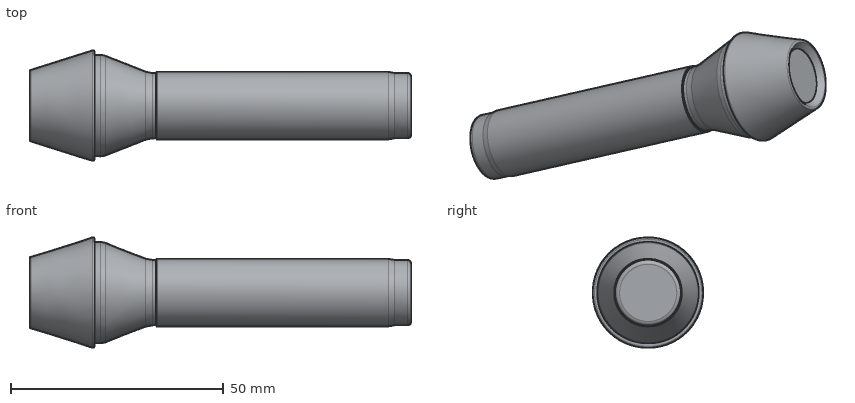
import cadquery as cq
import math

total_length = 90.0
front_x = -total_length / 2
back_x = total_length / 2

head_length = 15.3
head_edge_radius = 0.4
head_max_radius = 13.06
head_front_radius = 8.07
bore_radius = 6.5
dish_angle = math.radians(42)

dish_lip = (
    front_x + head_edge_radius * (1 - math.sin(dish_angle)),
    head_front_radius - head_edge_radius * math.cos(dish_angle),
)
dish_depth_below_lip = (dish_lip[1] - bore_radius) / math.tan(dish_angle)
dish_floor_x = dish_lip[0] + dish_depth_below_lip

collar_radius = 12.0
neck_radius = 15.5 / 2
shank_radius = 16.0 / 2
step = shank_radius - neck_radius
collar_end_x = front_x + 17.25
neck_start_x = front_x + 28.1
shank_start_x = front_x + 30.0
collar_blend_radius = 3.0
neck_blend_radius = 4.5
tail_start_x = back_x - 4.0
tail_taper_angle = math.radians(10)
tail_edge_radius = 1.0


def revolve_about_x(profile):
    """Turn a closed XY outline into a solid of revolution about X."""
    return profile.close().revolve(360, (0, 0, 0), (1, 0, 0))


def make_head():
    """Head with a tapered flank tangent to a small round at each end."""
    back = front_x + head_length
    r = head_edge_radius
    front_cx = front_x + r
    front_cy = head_front_radius
    back_cx = back - r
    back_cy = head_max_radius - r
    taper = math.atan2(back_cy - front_cy, back_cx - front_cx)

    def on_round(cx, cy, angle):
        return (cx + r * math.cos(angle), cy + r * math.sin(angle))

    flank_normal = math.pi / 2 + taper
    back_mid = flank_normal / 2
    profile = (
        cq.Workplane("XY")
        .moveTo(back, bore_radius)
        .lineTo(dish_floor_x, bore_radius)
        .lineTo(*dish_lip)
        .threePointArc((front_x, front_cy), on_round(front_cx, front_cy, flank_normal))
        .lineTo(*on_round(back_cx, back_cy, flank_normal))
        .threePointArc(on_round(back_cx, back_cy, back_mid), (back, back_cy))
    )
    return revolve_about_x(profile)


def round_edge(body, x, radius, fillet_radius):
    """Fillet the circular edge of the given radius centred at x on the axis."""
    tolerance = 0.01
    corner = cq.selectors.BoxSelector(
        (x - tolerance, -radius - tolerance, -radius - tolerance),
        (x + tolerance, radius + tolerance, radius + tolerance),
        boundingbox=True,
    )
    return body.edges(corner).fillet(fillet_radius)


def make_shank():
    """Shank with a stud that fills the bore of the head and forms the floor of its dish."""
    start = front_x + head_length
    taper_length = step / math.tan(tail_taper_angle)
    profile = (
        cq.Workplane("XY")
        .moveTo(dish_floor_x, 0)
        .lineTo(dish_floor_x, bore_radius)
        .lineTo(start, bore_radius)
        .lineTo(start, collar_radius)
        .lineTo(collar_end_x, collar_radius)
        .lineTo(neck_start_x, neck_radius)
        .lineTo(shank_start_x - step, neck_radius)
        .lineTo(shank_start_x, shank_radius)
        .lineTo(tail_start_x - taper_length, shank_radius)
        .lineTo(tail_start_x, neck_radius)
        .lineTo(back_x, neck_radius)
        .lineTo(back_x, 0)
    )
    body = revolve_about_x(profile)
    body = round_edge(body, collar_end_x, collar_radius, collar_blend_radius)
    body = round_edge(body, neck_start_x, neck_radius, neck_blend_radius)
    return round_edge(body, back_x, neck_radius, tail_edge_radius)


head = make_head()
shank = make_shank()

result = cq.Compound.makeCompound([head.val(), shank.val()])